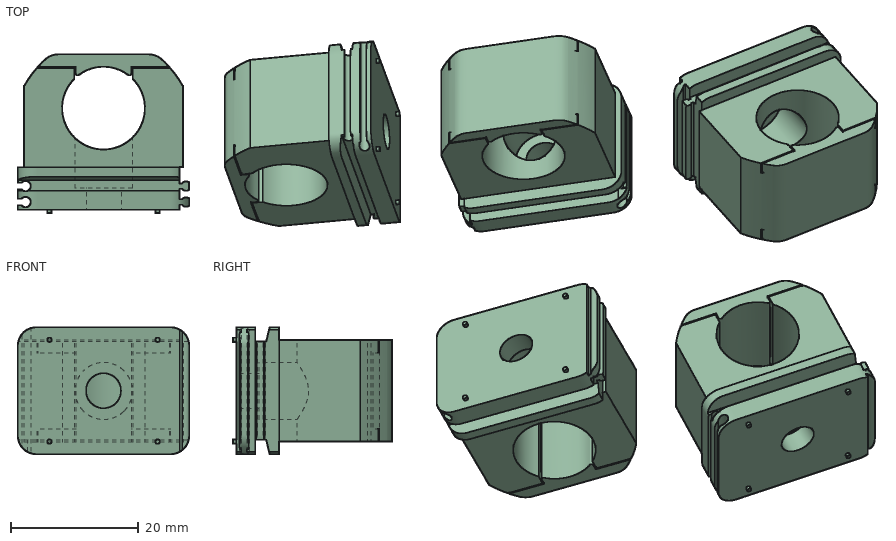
import cadquery as cq
import math


base_width = 27.0
base_height = 20.0
base_depth = 6.75
base_corner_radius = 3.0

groove_front = 3.0
groove_floor_back = 4.7
groove_mouth_back = 5.25
groove_floor_height = 15.5

joint_positions = (1.25, 3.75)
rib_diameter = 1.5
rib_neck = 0.9
rib_center_offset = 1.0
rib_overhang = 1.5
socket_diameter = 1.6
socket_neck = 1.0
socket_center_depth = 1.25

body_width = 25.0
body_height = 16.0
body_back = 24.5
shoulder_y = 19.5
flank_radius = 17.55
top_half_width = 8.24
top_corner_radius = 3.0

bore_diameter = 13.0
bore_y = 16.0
front_hole_diameter = 5.5
counterbore_diameter = 9.0
counterbore_front = 3.5
pin_diameter = 0.7
pin_length = 0.5
pin_spacing_x = 17.0
pin_spacing_z = 16.0

slit_back = 22.5
slit_width = 0.2
slit_depth = 2.0
tongue_half_width = 4.37
notch_back = 21.5
tongue_tip_radius = 0.3

base_end = base_width / 2 - rib_overhang
bore_radius = bore_diameter / 2


def upright_box(x_min, x_max, y_min, y_max, z_min, z_max):
    """Box given by its limits along each axis."""
    size = (x_max - x_min, y_max - y_min, z_max - z_min)
    return cq.Workplane("XY").box(*size, centered=False).translate((x_min, y_min, z_min))


def upright_bar(x_min, x_max, y_center, width, height):
    """Box centred on a Y position and on mid-height."""
    return upright_box(
        x_min, x_max, y_center - width / 2, y_center + width / 2, -height / 2, height / 2
    )


def upright_cylinder(x, y, diameter, height):
    """Cylinder along Z, centred on mid-height."""
    return cq.Workplane("XY").center(x, y).circle(diameter / 2).extrude(height / 2, both=True)


def groove(side):
    """Cutter for the groove on the top (side = 1) or bottom (side = -1) of the base."""
    floor_z = side * groove_floor_height / 2
    rim_z = side * base_height / 2
    return (
        cq.Workplane("YZ")
        .moveTo(groove_front, floor_z)
        .lineTo(groove_floor_back, floor_z)
        .lineTo(groove_mouth_back, rim_z)
        .lineTo(groove_front, rim_z)
        .close()
        .extrude(base_width / 2, both=True)
    )


def make_base():
    rounded_block = (
        cq.Workplane("XY")
        .box(base_width, base_depth, base_height)
        .translate((0, base_depth / 2, 0))
        .edges("|Y")
        .fillet(base_corner_radius)
    )
    kept = upright_bar(-base_width / 2, base_end, base_depth / 2, base_depth, base_height)
    rib_x = base_end + rib_center_offset
    for y in joint_positions:
        kept = kept.union(upright_bar(base_end, rib_x, y, rib_neck, base_height))
        kept = kept.union(upright_cylinder(rib_x, y, rib_diameter, base_height))
    base = rounded_block.intersect(kept)

    for side in (1, -1):
        base = base.cut(groove(side))

    socket_x = -base_width / 2 + socket_center_depth
    for y in joint_positions:
        base = base.cut(upright_bar(-base_width / 2, socket_x, y, socket_neck, base_height))
        base = base.cut(upright_cylinder(socket_x, y, socket_diameter, base_height))
    return base


def flank_midpoint():
    """Point halfway along the right flank arc, which bulges outward from its chord."""
    run = top_half_width - body_width / 2
    rise = body_back - shoulder_y
    chord = math.hypot(run, rise)
    bulge = flank_radius - math.sqrt(flank_radius**2 - (chord / 2) ** 2)
    x = (top_half_width + body_width / 2) / 2 + bulge * rise / chord
    y = (body_back + shoulder_y) / 2 - bulge * run / chord
    return x, y


def make_body():
    half_width = body_width / 2
    flank_x, flank_y = flank_midpoint()
    return (
        cq.Workplane("XY")
        .moveTo(-half_width, base_depth)
        .lineTo(half_width, base_depth)
        .lineTo(half_width, shoulder_y)
        .threePointArc((flank_x, flank_y), (top_half_width, body_back))
        .lineTo(-top_half_width, body_back)
        .threePointArc((-flank_x, flank_y), (-half_width, shoulder_y))
        .close()
        .extrude(body_height / 2, both=True)
        .edges("|Z and >Y")
        .fillet(top_corner_radius)
    )


def cut_bore(body):
    """Bore with a narrow notch on each side of the cap tongue and rounded tongue tips."""
    body = body.cut(upright_cylinder(0, bore_y, bore_diameter, body_height))
    notch_outer = tongue_half_width + slit_width
    for x_min in (tongue_half_width, -notch_outer):
        notch = upright_box(
            x_min, x_min + slit_width, bore_y, notch_back, -body_height / 2, body_height / 2
        )
        body = body.cut(notch)
    tip_y = bore_y + math.sqrt(bore_radius**2 - tongue_half_width**2)
    for x in (tongue_half_width, -tongue_half_width):
        tip_edge = cq.selectors.NearestToPointSelector((x, tip_y, 0))
        body = body.edges(tip_edge).fillet(tongue_tip_radius)
    return body


def cut_slits(body):
    """L-shaped slits sunk into the top and bottom faces on both sides of the cap."""
    half_height = body_height / 2
    slit_front = slit_back - slit_width
    notch_outer = tongue_half_width + slit_width
    across = upright_box(
        tongue_half_width, body_width / 2, slit_front, slit_back, half_height - slit_depth, half_height
    )
    down = upright_box(
        tongue_half_width, notch_outer, notch_back, slit_back, half_height - slit_depth, half_height
    )
    slit = across.union(down)
    upper_slits = slit.union(slit.mirror("YZ"))
    return body.cut(upper_slits).cut(upper_slits.mirror("XY"))


def front_cylinder(diameter, y_start, y_end, points):
    """Cylinders along Y at the given (X, Z) points."""
    return (
        cq.Workplane("XZ", origin=(0, y_start, 0))
        .pushPoints(points)
        .circle(diameter / 2)
        .extrude(y_start - y_end)
    )


pin_points = [
    (side_x * pin_spacing_x / 2, side_z * pin_spacing_z / 2)
    for side_x in (-1, 1)
    for side_z in (-1, 1)
]

body = cut_slits(cut_bore(make_body()))
front_hole = front_cylinder(front_hole_diameter, 0, bore_y, [(0, 0)])
counterbore = front_cylinder(counterbore_diameter, counterbore_front, bore_y, [(0, 0)])
pins = front_cylinder(pin_diameter, groove_front / 2, -pin_length, pin_points)
result = make_base().union(body).cut(front_hole).cut(counterbore).union(pins)